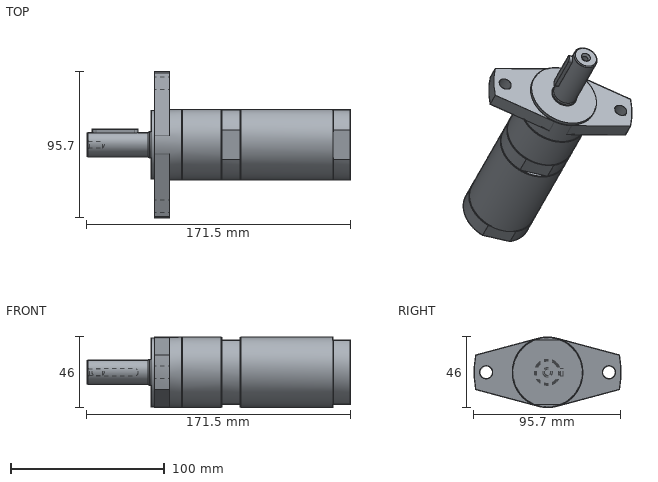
import cadquery as cq
import math

LENGTH = 171.5
COLLAR_START = 39.8
PILOT_START = 41.8
FLANGE_START = 43.9
FLANGE_THICKNESS = 10.0
FLANGE_HOUSING_END = 61.7
FRONT_FLATS_START = 88.0
FRONT_FLATS_END = 99.8
REAR_FLATS_START = 160.2

SHAFT_DIAMETER = 16.0
SHAFT_CHAMFER = 0.7
COLLAR_DIAMETER = 17.0
COLLAR_CHAMFER = 1.0
PILOT_DIAMETER = 45.0
BODY_DIAMETER = 46.0
BODY_RADIUS = BODY_DIAMETER / 2

JOINT_WIDTH = 0.5
JOINT_DEPTH = 0.3

ACROSS_FLATS = 41.8

FLANGE_SPAN = 95.7
FLANGE_END_BULGE = 1.0
FLANGE_TAPER_ANGLE = math.radians(15)
BOLT_SPACING = 80.0
BOLT_HOLE_DIAMETER = 8.2

KEY_START = 3.5
KEY_LENGTH = 30.0
KEY_WIDTH = 5.0
KEY_TOP = 10.1
KEY_SEAT = 5.0

CENTRE_HOLE_DIAMETER = 4.1
CENTRE_HOLE_DEPTH = 10.3
COUNTERSINK_DIAMETER = 6.2
COUNTERSINK_ANGLE = math.radians(60)
DRILL_POINT_ANGLE = math.radians(118)


def cylinder(start, end, diameter):
    """Round section about the X axis."""
    return cq.Workplane("YZ", origin=(start, 0, 0)).circle(diameter / 2).extrude(end - start)


def make_shaft():
    shaft = cylinder(0, PILOT_START, SHAFT_DIAMETER).faces("<X").chamfer(SHAFT_CHAMFER)
    collar_rise = (COLLAR_DIAMETER - SHAFT_DIAMETER) / 2
    collar = cylinder(COLLAR_START, PILOT_START, COLLAR_DIAMETER)
    collar = collar.faces("<X").chamfer(COLLAR_CHAMFER, collar_rise)
    return shaft.union(collar)


def make_key():
    return (
        cq.Workplane("XZ", origin=(KEY_START + KEY_LENGTH / 2, KEY_SEAT, 0))
        .slot2D(KEY_LENGTH, KEY_WIDTH)
        .extrude(KEY_SEAT - KEY_TOP)
    )


def make_flange():
    """Plate with sides tangent to the body circle and gently rounded ends.

    Between the tangent points the body itself completes the outline.
    """
    tangent_y = BODY_RADIUS * math.sin(FLANGE_TAPER_ANGLE)
    tangent_z = BODY_RADIUS * math.cos(FLANGE_TAPER_ANGLE)
    end_y = FLANGE_SPAN / 2
    corner_y = end_y - FLANGE_END_BULGE
    corner_z = tangent_z - (corner_y - tangent_y) * math.tan(FLANGE_TAPER_ANGLE)
    half_bolt_spacing = BOLT_SPACING / 2
    return (
        cq.Workplane("YZ", origin=(FLANGE_START, 0, 0))
        .moveTo(tangent_y, tangent_z)
        .lineTo(corner_y, corner_z)
        .threePointArc((end_y, 0), (corner_y, -corner_z))
        .lineTo(tangent_y, -tangent_z)
        .lineTo(-tangent_y, -tangent_z)
        .lineTo(-corner_y, -corner_z)
        .threePointArc((-end_y, 0), (-corner_y, corner_z))
        .lineTo(-tangent_y, tangent_z)
        .close()
        .pushPoints([(-half_bolt_spacing, 0), (half_bolt_spacing, 0)])
        .circle(BOLT_HOLE_DIAMETER / 2)
        .extrude(FLANGE_THICKNESS)
    )


def cut_joint(body, start):
    """Shallow groove around the body."""
    ring = cylinder(start, start + JOINT_WIDTH, 2 * BODY_DIAMETER)
    core = cylinder(start, start + JOINT_WIDTH, BODY_DIAMETER - 2 * JOINT_DEPTH)
    return body.cut(ring.cut(core))


def cut_flats(body, start, end):
    """Pair of parallel flats facing +Z and -Z."""
    length = end - start
    centre_x = (start + end) / 2
    outside = cq.Workplane("XY").box(length, BODY_DIAMETER, 2 * BODY_DIAMETER)
    kept = cq.Workplane("XY").box(length, BODY_DIAMETER, ACROSS_FLATS)
    return body.cut(outside.cut(kept).translate((centre_x, 0, 0)))


def make_body():
    body = cylinder(FLANGE_START, LENGTH, BODY_DIAMETER)
    front_joint = FRONT_FLATS_START - JOINT_WIDTH
    for start in (FLANGE_HOUSING_END, front_joint, FRONT_FLATS_END, REAR_FLATS_START):
        body = cut_joint(body, start)
    for start, end in ((FRONT_FLATS_START, FRONT_FLATS_END), (REAR_FLATS_START, LENGTH)):
        body = cut_flats(body, start, end)
    return body.union(cylinder(PILOT_START, FLANGE_START, PILOT_DIAMETER))


def make_centre_hole():
    """Countersunk drilled hole with a conical bottom, about the X axis."""
    hole_radius = CENTRE_HOLE_DIAMETER / 2
    mouth_radius = COUNTERSINK_DIAMETER / 2
    countersink_depth = (mouth_radius - hole_radius) / math.tan(COUNTERSINK_ANGLE / 2)
    point_length = hole_radius / math.tan(DRILL_POINT_ANGLE / 2)
    half_section = [
        (0, 0),
        (0, mouth_radius),
        (countersink_depth, hole_radius),
        (CENTRE_HOLE_DEPTH, hole_radius),
        (CENTRE_HOLE_DEPTH + point_length, 0),
    ]
    return cq.Workplane("XY").polyline(half_section).close().revolve(360, (0, 0, 0), (1, 0, 0))


result = (
    make_body()
    .union(make_flange())
    .union(make_shaft())
    .union(make_key())
    .cut(make_centre_hole())
)